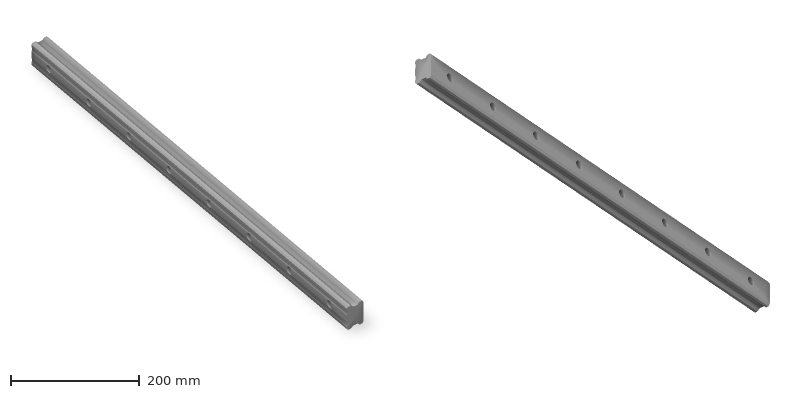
import cadquery as cq

length = 825.0
depth = 32.0
height = 45.0

groove_depth = 4.0
groove_front_edge = 7.5
groove_floor_front = 12.0
groove_floor_back = 21.0
groove_back_edge = 25.0

front_chamfer = 2.5

back_chamfer_y = 2.5
back_chamfer_z = 4.0

channel_depth = 1.0
channel_wall_width = 2.1
channel_inner_edge = 7.0
channel_outer_edge = 16.0

hole_diameter = 14.0
hole_count = 8
hole_pitch = 105.0

half_height = height / 2
front_y = -depth / 2
back_y = depth / 2


def upper_profile():
    """Points of the upper half of the section, from the front face to the back face."""
    floor_z = half_height - groove_depth
    return [
        (front_y, channel_inner_edge),
        (front_y + channel_depth, channel_inner_edge + channel_wall_width),
        (front_y + channel_depth, channel_outer_edge - channel_wall_width),
        (front_y, channel_outer_edge),
        (front_y, half_height - front_chamfer),
        (front_y + front_chamfer, half_height),
        (front_y + groove_front_edge, half_height),
        (front_y + groove_floor_front, floor_z),
        (front_y + groove_floor_back, floor_z),
        (front_y + groove_back_edge, half_height),
        (back_y - back_chamfer_y, half_height),
        (back_y, half_height - back_chamfer_z),
    ]


def make_rail():
    """Extrude the mirrored section along X, centred on the origin."""
    upper = upper_profile()
    lower = [(y, -z) for y, z in reversed(upper)]
    section = cq.Workplane("YZ").polyline(upper + lower).close()
    return section.extrude(length / 2, both=True)


def make_holes():
    """Through holes along Y, evenly spaced about the middle of the rail."""
    row = cq.Workplane("XZ").rarray(hole_pitch, 8, hole_count, 1)
    return row.circle(hole_diameter / 2).extrude(depth, both=True)


result = make_rail().cut(make_holes())